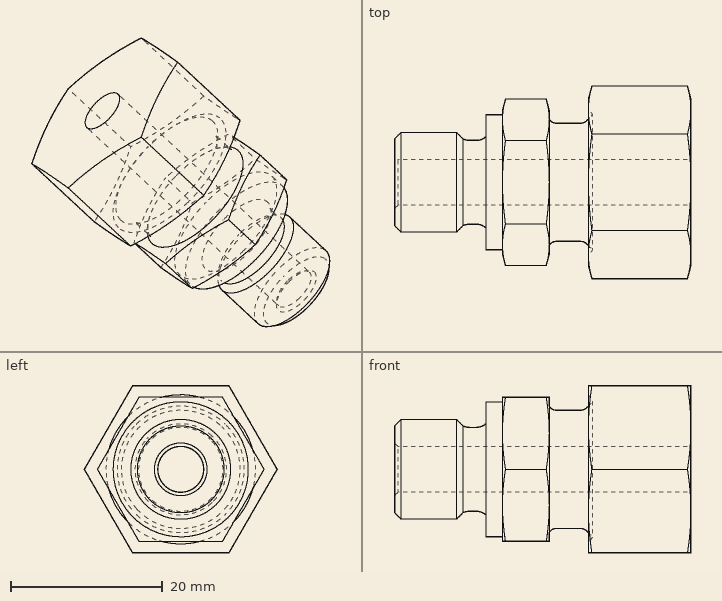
import cadquery as cq
import math

length = 39

thread_radius = 13.15 / 2
thread_end = 8.15
thread_chamfer = 0.85

neck_radius = 11.08 / 2
neck_start = 9.85
neck_end = 10.8
neck_shoulder_radius = 12.0 / 2

collar_radius = 17.8 / 2
collar_start = 12.0

body_hex_start = 14.2
body_hex_end = 20.35
body_hex_flats = 19.0

shank_radius = 15.6 / 2
shank_start = 21.25
shank_end = 24.5
shank_left_flare = 0.55
shank_right_flare = 0.27
shank_cone_start = 25.25
shank_cone_end = 26.05

shank_cone_end_radius = shank_radius + shank_right_flare + shank_cone_end - shank_cone_start

nut_start = 25.5
nut_flats = 22.0
nut_mouth_radius = 9.83

bore_radius = 6.0 / 2
bore_chamfer = 0.45

hex_chamfer_angle = 15


def tangent_arc_middle(tangent_point, far_point):
    """Middle of an arc that leaves tangent_point parallel to X and ends at far_point."""
    run = far_point[0] - tangent_point[0]
    rise = far_point[1] - tangent_point[1]
    arc_radius = (run**2 + rise**2) / (2 * rise)
    half_angle = math.atan2(rise, abs(run))
    side = math.copysign(1, run)
    return (
        tangent_point[0] + side * arc_radius * math.sin(half_angle),
        tangent_point[1] + arc_radius * (1 - math.cos(half_angle)),
    )


def turned_body():
    """Revolved thread, neck, collar and shank, ending inside the nut."""
    thread_foot = (thread_end + thread_chamfer, thread_radius - thread_chamfer)
    neck_left = (neck_start, neck_radius)
    neck_right = (neck_end, neck_radius)
    neck_shoulder = (collar_start, neck_shoulder_radius)
    shank_root = (body_hex_end, shank_radius + shank_left_flare)
    shank_left = (shank_start, shank_radius)
    shank_right = (shank_end, shank_radius)
    cone_foot = (shank_cone_start, shank_radius + shank_right_flare)
    cone_top = (shank_cone_end, shank_cone_end_radius)

    profile = (
        cq.Workplane("XY")
        .lineTo(0, thread_radius - thread_chamfer)
        .lineTo(thread_chamfer, thread_radius)
        .lineTo(thread_end, thread_radius)
        .lineTo(*thread_foot)
        .threePointArc(tangent_arc_middle(neck_left, thread_foot), neck_left)
        .lineTo(*neck_right)
        .threePointArc(tangent_arc_middle(neck_right, neck_shoulder), neck_shoulder)
        .lineTo(collar_start, collar_radius)
        .lineTo(body_hex_end, collar_radius)
        .lineTo(*shank_root)
        .threePointArc(tangent_arc_middle(shank_left, shank_root), shank_left)
        .lineTo(*shank_right)
        .threePointArc(tangent_arc_middle(shank_right, cone_foot), cone_foot)
        .lineTo(*cone_top)
        .lineTo(length, shank_cone_end_radius)
        .lineTo(length, 0)
        .close()
    )
    return profile.revolve(360, (0, 0, 0), (1, 0, 0))


def chamfered_hexagon(start, end, flats):
    """Hexagon with corners on +Y and -Y, its ends turned down to the inscribed circle."""
    corner_radius = flats / math.sqrt(3)
    flat_radius = flats / 2
    chamfer_depth = (corner_radius - flat_radius) * math.tan(math.radians(hex_chamfer_angle))
    prism = (
        cq.Workplane("YZ", origin=(start, 0, 0))
        .polygon(6, 2 * corner_radius)
        .extrude(end - start)
    )
    envelope = (
        cq.Workplane("XY")
        .moveTo(start, 0)
        .lineTo(start, flat_radius)
        .lineTo(start + chamfer_depth, corner_radius)
        .lineTo(end - chamfer_depth, corner_radius)
        .lineTo(end, flat_radius)
        .lineTo(end, 0)
        .close()
        .revolve(360, (0, 0, 0), (1, 0, 0))
    )
    return prism.intersect(envelope)


def bore():
    """Through bore with a chamfered mouth at the threaded end."""
    return (
        cq.Workplane("XY")
        .lineTo(0, bore_radius + bore_chamfer)
        .lineTo(bore_chamfer, bore_radius)
        .lineTo(length, bore_radius)
        .lineTo(length, 0)
        .close()
        .revolve(360, (0, 0, 0), (1, 0, 0))
    )


def nut_mouth():
    """Countersink in the nut face that narrows down to the end of the shank cone."""
    return (
        cq.Workplane("XY")
        .moveTo(nut_start, 0)
        .lineTo(nut_start, nut_mouth_radius)
        .lineTo(shank_cone_end, shank_cone_end_radius)
        .lineTo(shank_cone_end, 0)
        .close()
        .revolve(360, (0, 0, 0), (1, 0, 0))
    )


body_hexagon = chamfered_hexagon(body_hex_start, body_hex_end, body_hex_flats)
nut = chamfered_hexagon(nut_start, length, nut_flats).cut(nut_mouth())
result = turned_body().union(body_hexagon).union(nut).cut(bore())